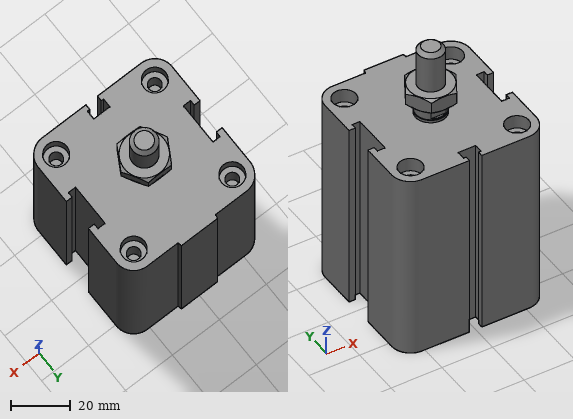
import cadquery as cq
import math

TOTAL_HEIGHT = 104.0
HOUSING_WIDTH = 57.0
HOUSING_HEIGHT = 75.3
CORNER_RADIUS = 7.4

RIB_TOP_WIDTH = 15.4
RIB_BASE_WIDTH = 16.0
RIB_HEIGHT = 1.5

SLOT_DEPTH = 5.5
SIDE_SLOT_MOUTH = 12.0
SIDE_SLOT_WIDTH = 16.0
SIDE_SLOT_LIP = 2.5
FRONT_SLOT_MOUTH = 4.9
FRONT_SLOT_WIDTH = 6.9
FRONT_SLOT_LIP = 2.1

HOLE_SPACING = 42.0
HOLE_DIAMETER = 4.9
HOLE_DEPTH = 14.4
COUNTERBORE_DIAMETER = 9.0
COUNTERBORE_DEPTH = 5.4

COLLAR_DIAMETER = 12.0
NECK_DIAMETER = 11.6
THREAD_DIAMETER = 10.0
COLLAR_HEIGHT = 1.0
NECK_CHAMFER = 0.4
TIP_CHAMFER = 1.6
FLATS_WIDTH = THREAD_DIAMETER
FLATS_BASE_HEIGHT = 1.7

NUT_WIDTH = 17.2
NUT_HEIGHT = 6.0
NUT_TOP = 88.0
NUT_FACE_DIAMETER = 16.8
NUT_CHAMFER_ANGLE = 30.0

HALF_WIDTH = HOUSING_WIDTH / 2
NUT_BOTTOM = NUT_TOP - NUT_HEIGHT


def t_slot(mouth, width, lip):
    """T-slot cutter for the -Y face of the housing."""
    outline = [
        (-mouth / 2, -HALF_WIDTH),
        (mouth / 2, -HALF_WIDTH),
        (mouth / 2, -HALF_WIDTH + lip),
        (width / 2, -HALF_WIDTH + lip),
        (width / 2, -HALF_WIDTH + SLOT_DEPTH),
        (-width / 2, -HALF_WIDTH + SLOT_DEPTH),
        (-width / 2, -HALF_WIDTH + lip),
        (-mouth / 2, -HALF_WIDTH + lip),
    ]
    return cq.Workplane("XY").polyline(outline).close().extrude(HOUSING_HEIGHT)


def make_housing():
    """Square body with rounded corners, a rib, T-slots and mounting holes."""
    body = (
        cq.Workplane("XY")
        .rect(HOUSING_WIDTH, HOUSING_WIDTH)
        .extrude(HOUSING_HEIGHT)
        .edges("|Z")
        .fillet(CORNER_RADIUS)
    )
    rib_outline = [
        (-RIB_BASE_WIDTH / 2, HALF_WIDTH),
        (RIB_BASE_WIDTH / 2, HALF_WIDTH),
        (RIB_TOP_WIDTH / 2, HALF_WIDTH + RIB_HEIGHT),
        (-RIB_TOP_WIDTH / 2, HALF_WIDTH + RIB_HEIGHT),
    ]
    rib = cq.Workplane("XY").polyline(rib_outline).close().extrude(HOUSING_HEIGHT)
    body = body.union(rib)

    body = body.cut(t_slot(FRONT_SLOT_MOUTH, FRONT_SLOT_WIDTH, FRONT_SLOT_LIP))
    side_slot = t_slot(SIDE_SLOT_MOUTH, SIDE_SLOT_WIDTH, SIDE_SLOT_LIP)
    for angle in (-90, 90):
        body = body.cut(side_slot.rotate((0, 0, 0), (0, 0, 1), angle))

    return (
        body.faces(">Z")
        .workplane(origin=(0, 0, HOUSING_HEIGHT))
        .rect(HOLE_SPACING, HOLE_SPACING, forConstruction=True)
        .vertices()
        .cboreHole(HOLE_DIAMETER, COUNTERBORE_DIAMETER, COUNTERBORE_DEPTH, HOLE_DEPTH)
    )


def make_rod():
    """Turned rod standing on the housing, with two wrench flats on its neck."""
    collar_radius = COLLAR_DIAMETER / 2
    neck_radius = NECK_DIAMETER / 2
    thread_radius = THREAD_DIAMETER / 2
    collar_top = HOUSING_HEIGHT + COLLAR_HEIGHT
    profile = [
        (0, HOUSING_HEIGHT),
        (collar_radius, HOUSING_HEIGHT),
        (collar_radius, collar_top),
        (neck_radius, collar_top + collar_radius - neck_radius),
        (neck_radius, NUT_BOTTOM - NECK_CHAMFER),
        (neck_radius - NECK_CHAMFER, NUT_BOTTOM),
        (thread_radius, NUT_BOTTOM),
        (thread_radius, TOTAL_HEIGHT - TIP_CHAMFER),
        (thread_radius - TIP_CHAMFER, TOTAL_HEIGHT),
        (0, TOTAL_HEIGHT),
    ]
    rod = cq.Workplane("XZ").polyline(profile).close().revolve(360, (0, 0), (0, 1))

    flats_base = HOUSING_HEIGHT + FLATS_BASE_HEIGHT
    for side in (-1, 1):
        cutter = (
            cq.Workplane("XY", origin=(0, side * (FLATS_WIDTH + COLLAR_DIAMETER) / 2, flats_base))
            .rect(COLLAR_DIAMETER, COLLAR_DIAMETER)
            .extrude(NUT_BOTTOM - flats_base)
        )
        rod = rod.cut(cutter)
    return rod


def make_nut():
    """Hexagon nut with chamfered corners on both ends, bored to fit the rod."""
    corner_diameter = NUT_WIDTH / math.cos(math.pi / 6)
    corner_radius = corner_diameter / 2
    face_radius = NUT_FACE_DIAMETER / 2
    chamfer_height = (corner_radius - face_radius) * math.tan(math.radians(NUT_CHAMFER_ANGLE))
    hexagon = (
        cq.Workplane("XY", origin=(0, 0, NUT_BOTTOM))
        .polygon(6, corner_diameter)
        .circle(THREAD_DIAMETER / 2)
        .extrude(NUT_HEIGHT)
    )
    envelope_profile = [
        (0, NUT_BOTTOM),
        (face_radius, NUT_BOTTOM),
        (corner_radius, NUT_BOTTOM + chamfer_height),
        (corner_radius, NUT_TOP - chamfer_height),
        (face_radius, NUT_TOP),
        (0, NUT_TOP),
    ]
    envelope = cq.Workplane("XZ").polyline(envelope_profile).close().revolve(360, (0, 0), (0, 1))
    return hexagon.intersect(envelope)


housing = make_housing()
rod = make_rod()
nut = make_nut()

result = cq.Compound.makeCompound([housing.val(), rod.val(), nut.val()])